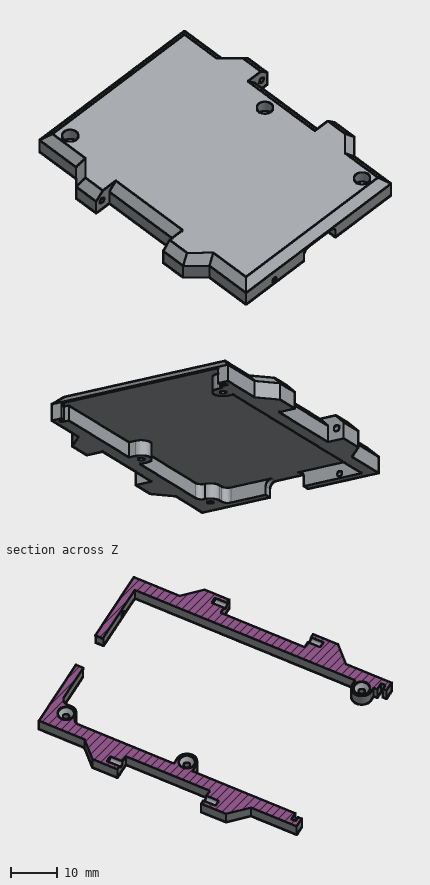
import cadquery as cq

length = 62.74
tab_span = 52.45
height = 5.8
bevel = 2.0
tab_projection = 4.0
body_width = tab_span - 2 * tab_projection
tab_inner_x = 10.15
tab_outer_x = 16.25

end_wall = 1.9
cavity_width = 38.15
cavity_height = 3.5
mouth_width = 39.5
lip_thickness = 0.95
panel_slot_width = 41.8

notch_width = 9.6
notch_center_y = 0.35
notch_radius = 1.5
port_diameter = 1.2
port_y = -13.5
port_z = 1.05

boss_radius = 2.3
boss_fillet = 1.5
edge_bosses = [(-26.3, -17.9), (-2.15, 17.4)]
corner_boss = (27.1, 17.65)
screw_diameter = 1.4
head_diameter = 3.5
head_depth = 3.0

pin_diameter = 1.4
pin_depth = 3.0
pin_y = 24.45
pin_z = 2.75

cavity_end_x = length / 2 - end_wall
cavity_half_width = cavity_width / 2


def box(x_min, x_max, y_min, y_max, z_max):
    """Block standing on the bottom plane."""
    size_x = x_max - x_min
    size_y = y_max - y_min
    block = cq.Workplane("XY").box(size_x, size_y, z_max, centered=False)
    return block.translate((x_min, y_min, 0))


def bevelled_slab(outline):
    return outline.extrude(height).faces(">Z").chamfer(bevel)


def outer_body():
    """Bevelled rectangle with four tabs whose inner sides stay upright."""
    plate = bevelled_slab(cq.Workplane("XY").rect(length, body_width))
    tab_base_x = tab_outer_x + tab_projection
    half_outline = [
        (-length / 2, body_width / 2),
        (-tab_base_x, body_width / 2),
        (-tab_outer_x, tab_span / 2),
        (tab_outer_x, tab_span / 2),
        (tab_base_x, body_width / 2),
        (length / 2, body_width / 2),
    ]
    outline = half_outline + [(-x, -y) for x, y in half_outline]
    winged = bevelled_slab(cq.Workplane("XY").polyline(outline).close())
    gap = box(-tab_inner_x, tab_inner_x, -tab_span / 2, tab_span / 2, height)
    return winged.cut(gap).union(plate)


def cavity():
    """Main room, the mouth through the -X lip, and the wider panel slot between them."""
    lip_back_x = lip_thickness - length / 2
    room = box(-cavity_end_x, cavity_end_x, -cavity_half_width, cavity_half_width, cavity_height)
    mouth = box(-length / 2, lip_back_x, -mouth_width / 2, mouth_width / 2, cavity_height)
    slot = box(lip_back_x, -cavity_end_x, -panel_slot_width / 2, panel_slot_width / 2, cavity_height)
    return room.union(mouth).union(slot)


def edge_boss(x, y):
    """Round boss joined to the nearest long wall by a web of its own width."""
    post = cq.Workplane("XY").center(x, y).circle(boss_radius).extrude(cavity_height)
    wall_y = cavity_half_width if y > 0 else -cavity_half_width
    web = box(x - boss_radius, x + boss_radius, min(y, wall_y), max(y, wall_y), cavity_height)
    return post.union(web)


def corner_boss_block():
    """Boss filling the +X +Y corner, with hollow fillets where it meets the walls."""
    x, y = corner_boss
    left = x - boss_radius
    front = y - boss_radius
    fillet_x = cavity_end_x - boss_fillet
    fillet_y = cavity_half_width - boss_fillet
    block = box(left, cavity_end_x, front, cavity_half_width, cavity_height)
    block = block.edges("|Z and <X and <Y").fillet(boss_radius)
    front_web = box(fillet_x, cavity_end_x, front - boss_fillet, front, cavity_height)
    left_web = box(left - boss_fillet, left, fillet_y, cavity_half_width, cavity_height)
    hollow_centers = [(fillet_x, front - boss_fillet), (left - boss_fillet, fillet_y)]
    hollows = cq.Workplane("XY").pushPoints(hollow_centers).circle(boss_fillet).extrude(cavity_height)
    return block.union(front_web.union(left_web).cut(hollows))


def screw_hole(x, y):
    """Through hole with a deep head recess that ends in a 90 degree conical seat."""
    cone_depth = (head_diameter - screw_diameter) / 2
    recess_floor = height - head_depth
    half_profile = [
        (0, 0),
        (screw_diameter / 2, 0),
        (screw_diameter / 2, recess_floor - cone_depth),
        (head_diameter / 2, recess_floor),
        (head_diameter / 2, height),
        (0, height),
    ]
    cutter = cq.Workplane("XZ").polyline(half_profile).close().revolve(360, (0, 0, 0), (0, 1, 0))
    return cutter.translate((x, y, 0))


def end_wall_cuts():
    """Notch with rounded upper corners, and the round port beside it."""
    y_min = notch_center_y - notch_width / 2
    notch = box(cavity_end_x, length / 2, y_min, y_min + notch_width, cavity_height)
    notch = notch.edges("|X and >Z").fillet(notch_radius)
    port_plane = cq.Workplane("YZ", origin=(cavity_end_x, port_y, port_z))
    port = port_plane.circle(port_diameter / 2).extrude(end_wall)
    return notch.union(port)


def pin_hole(side_x, side_y):
    plane = cq.Workplane("YZ", origin=(side_x * tab_inner_x, side_y * pin_y, pin_z))
    return plane.circle(pin_diameter / 2).extrude(side_x * pin_depth)


result = outer_body().cut(cavity())
for boss_x, boss_y in edge_bosses:
    result = result.union(edge_boss(boss_x, boss_y))
result = result.union(corner_boss_block())
for hole_x, hole_y in edge_bosses + [corner_boss]:
    result = result.cut(screw_hole(hole_x, hole_y))
result = result.cut(end_wall_cuts())
for side_x in (-1, 1):
    for side_y in (-1, 1):
        result = result.cut(pin_hole(side_x, side_y))